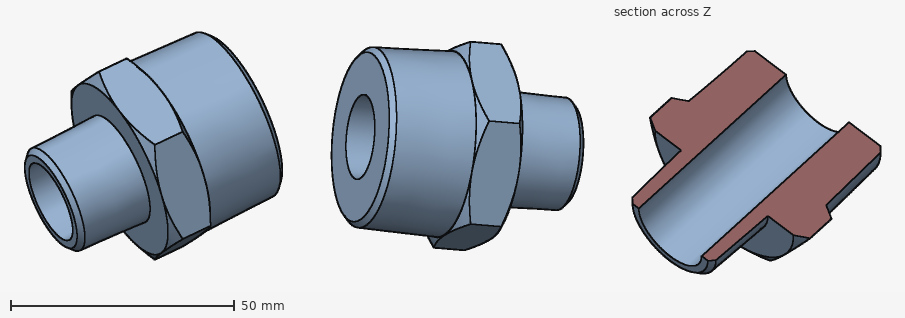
import cadquery as cq
import math

total_length = 49.0
large_end_length = 20.0
small_end_length = 18.0
hex_length = total_length - large_end_length - small_end_length

hex_across_flats = 42.0
hex_across_corners = hex_across_flats / math.cos(math.radians(30))
hex_bevel_angle = 30.0

taper_on_radius = 1 / 32
large_root_diameter = 41.8
small_root_diameter = 26.4
end_chamfer = 1.25

bore_diameter = 19.0

hex_front = 0.0
hex_back = hex_front + hex_length


def revolve_about_y(points):
    """Solid of revolution about Y from (radius, y) points."""
    return cq.Workplane("XY").polyline(points).close().revolve(360, (0, 0, 0), (0, 1, 0))


def tapered_end(root_diameter, length, root_y, direction):
    """Cone running from root_y along direction (+1 or -1), chamfered at its tip."""
    root_radius = root_diameter / 2
    tapered_length = length - end_chamfer
    rim_radius = root_radius - tapered_length * taper_on_radius
    rim_y = root_y + direction * tapered_length
    tip_y = root_y + direction * length
    return revolve_about_y([
        (0, root_y),
        (root_radius, root_y),
        (rim_radius, rim_y),
        (rim_radius - end_chamfer, tip_y),
        (0, tip_y),
    ])


def bevelled_hexagon():
    """Hexagon with corners on X, its corners bevelled by a cone at both faces."""
    prism = (
        cq.Workplane("XZ", origin=(0, hex_back, 0))
        .polygon(6, hex_across_corners)
        .extrude(hex_length)
    )
    face_radius = hex_across_flats / 2
    corner_radius = hex_across_corners / 2
    bevel_depth = (corner_radius - face_radius) * math.tan(math.radians(hex_bevel_angle))
    envelope = revolve_about_y([
        (0, hex_front),
        (face_radius, hex_front),
        (corner_radius, hex_front + bevel_depth),
        (corner_radius, hex_back - bevel_depth),
        (face_radius, hex_back),
        (0, hex_back),
    ])
    return prism.intersect(envelope)


body = (
    bevelled_hexagon()
    .union(tapered_end(large_root_diameter, large_end_length, hex_back, 1))
    .union(tapered_end(small_root_diameter, small_end_length, hex_front, -1))
)

bore = (
    cq.Workplane("XZ", origin=(0, hex_back + large_end_length, 0))
    .circle(bore_diameter / 2)
    .extrude(total_length)
)

result = body.cut(bore)